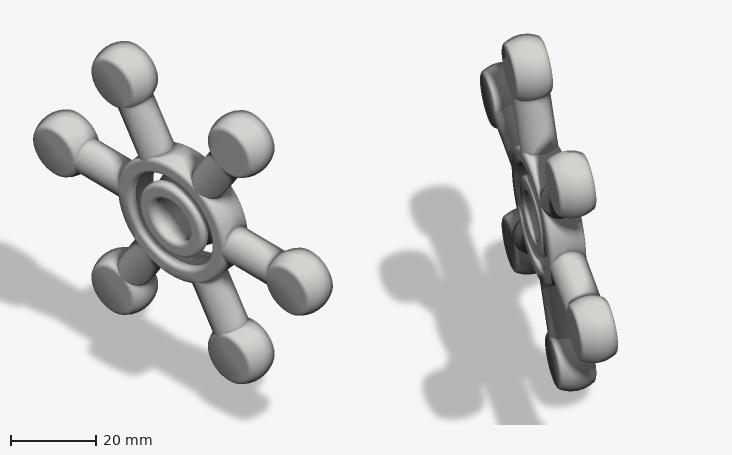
import cadquery as cq

thickness = 9.0
half_thickness = thickness / 2
edge_fillet = 1.0

arm_count = 6
overall_length = 90.0
ball_radius = 8.0
ball_distance = overall_length / 2 - ball_radius
arm_radius = half_thickness

hub_outer_radius = 17.0
hub_bore_radius = 13.0
inner_ring_outer_radius = 10.0
inner_ring_bore_radius = 6.0

race_center_radius = (hub_bore_radius + inner_ring_outer_radius) / 2
race_radius = 2.7


def disc(radius):
    """Plain disc about the Y axis, centred on the XZ plane."""
    return cq.Workplane("XZ").circle(radius).extrude(half_thickness, both=True)


def ring(outer_radius, bore_radius):
    """Ring about the Y axis with all four circular edges rounded."""
    return disc(outer_radius).cut(disc(bore_radius)).edges("%CIRCLE").fillet(edge_fillet)


def ball_race():
    """Torus about the Y axis that cuts the grooves the bearing balls would run in."""
    race = cq.Solid.makeTorus(race_center_radius, race_radius, cq.Vector(0, 0, 0), cq.Vector(0, 1, 0))
    return cq.Workplane(obj=race)


def end_ball():
    """Ball flattened on its -Y and +Y sides, with rounded rims, centred on the origin."""
    flattened = cq.Workplane("XZ").sphere(ball_radius).intersect(disc(ball_radius))
    return flattened.faces("<Y or >Y").edges().fillet(edge_fillet)


def spoke():
    """Round arm along +X with its end ball; the arm starts inside the hub wall."""
    arm_start = (hub_bore_radius + hub_outer_radius) / 2
    arm_length = ball_distance - arm_start
    arm = cq.Workplane("YZ", origin=(arm_start, 0, 0)).circle(arm_radius).extrude(arm_length)
    return end_ball().translate((ball_distance, 0, 0)).union(arm)


frame = ring(hub_outer_radius, hub_bore_radius)
for index in range(arm_count):
    frame = frame.union(spoke().rotate((0, 0, 0), (0, 1, 0), index * 360 / arm_count))
frame = frame.cut(ball_race())

inner_ring = ring(inner_ring_outer_radius, inner_ring_bore_radius).cut(ball_race())

result = cq.Compound.makeCompound([frame.val(), inner_ring.val()])